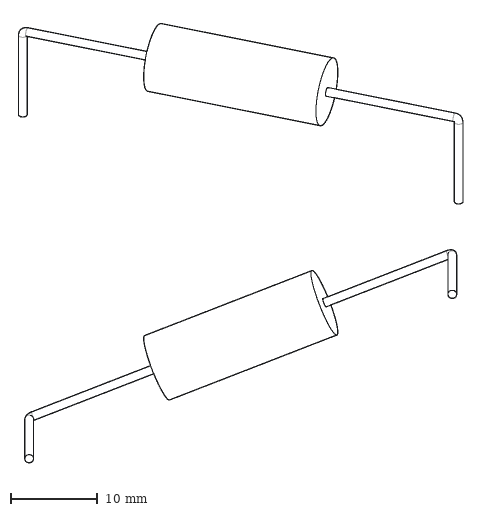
import cadquery as cq

span = 54.05
total_height = 16.0

body_diameter = 8.0
body_length = 20.95

wire_diameter = 1.0
wire_radius = wire_diameter / 2
bend_radius = wire_radius

leg_x = span / 2 - wire_radius
leg_bottom_z = body_diameter / 2 - total_height


def make_body():
    """Plain cylinder lying along X."""
    return (
        cq.Workplane("YZ", origin=(-body_length / 2, 0, 0))
        .circle(body_diameter / 2)
        .extrude(body_length)
    )


def make_lead(side):
    """Lead from one body end (side = -1 or 1), bent down into a vertical leg."""
    bend_start_x = leg_x - bend_radius
    path = (
        cq.Workplane("XZ")
        .moveTo(side * body_length / 2, 0)
        .lineTo(side * bend_start_x, 0)
        .radiusArc((side * leg_x, -bend_radius), side * bend_radius)
        .lineTo(side * leg_x, leg_bottom_z)
    )
    return (
        cq.Workplane("YZ", origin=(side * body_length / 2, 0, 0))
        .circle(wire_radius)
        .sweep(path)
    )


body = make_body()
leads = [make_lead(side) for side in (-1, 1)]

result = cq.Compound.makeCompound([body.val(), *[lead.val() for lead in leads]])